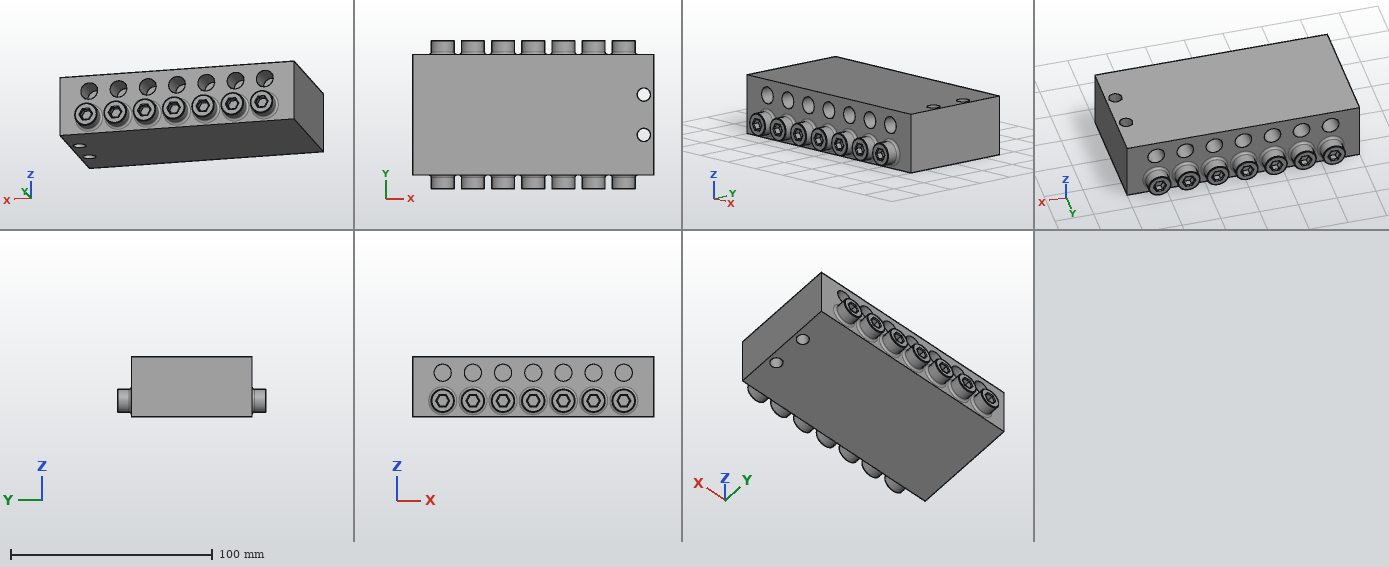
import cadquery as cq
import math

block_length = 120.0
block_width = 60.0
block_height = 30.0

station_count = 7
station_pitch = block_length / (station_count + 1)

port_diameter = 8.5
port_height = 22.0
port_depth = 14.4

overall_width = 74.0
head_projection = (overall_width - block_width) / 2
head_height = 8.0
head_diameter = 11.5
flare_radius = 1.2
head_edge_chamfer = 0.4
hex_across_flats = 5.0
hex_chamfer = 0.5
hex_depth = 3.6

mount_diameter = 6.5
mount_spacing = 20.0
mount_end_distance = 5.0

station_xs = [(i - (station_count - 1) / 2) * station_pitch for i in range(station_count)]


def side_plane(x, z):
    """Plane on the -Y face with its normal pointing out of the block."""
    return cq.Plane(origin=(x, -block_width / 2, z), xDir=(1, 0, 0), normal=(0, -1, 0))


def port(x):
    return cq.Workplane(side_plane(x, port_height)).circle(port_diameter / 2).extrude(-port_depth)


def screw_plug(x):
    """Socket head that meets the block through a concave flare."""
    head_radius = head_diameter / 2
    flare_middle = flare_radius * (1 - math.sqrt(0.5))
    axis_plane = cq.Plane(origin=(x, -block_width / 2, head_height), xDir=(1, 0, 0), normal=(0, 0, -1))
    profile = (
        cq.Workplane(axis_plane)
        .lineTo(head_radius + flare_radius, 0)
        .threePointArc((head_radius + flare_middle, flare_middle), (head_radius, flare_radius))
        .lineTo(head_radius, head_projection - head_edge_chamfer)
        .lineTo(head_radius - head_edge_chamfer, head_projection)
        .lineTo(0, head_projection)
        .close()
    )
    head = profile.revolve(360, (0, 0, 0), (0, 1, 0))
    socket = (
        cq.Workplane(side_plane(x, head_height))
        .workplane(offset=head_projection)
        .polygon(6, hex_across_flats / math.cos(math.pi / 6))
        .extrude(-hex_depth)
    )
    return head.cut(socket).faces("<Y").edges("%LINE").chamfer(hex_chamfer)


def mirrored(feature):
    """Copy of a -Y side feature on the +Y side."""
    return feature.mirror("XZ")


body = cq.Workplane("XY").box(block_length, block_width, block_height, centered=(True, True, False))

for station_x in station_xs:
    bore = port(station_x)
    plug = screw_plug(station_x)
    body = body.cut(bore).cut(mirrored(bore))
    body = body.union(plug).union(mirrored(plug))

mount_x = block_length / 2 - mount_end_distance
mounting_holes = (
    cq.Workplane("XY")
    .pushPoints([(mount_x, -mount_spacing / 2), (mount_x, mount_spacing / 2)])
    .circle(mount_diameter / 2)
    .extrude(block_height)
)

result = body.cut(mounting_holes)